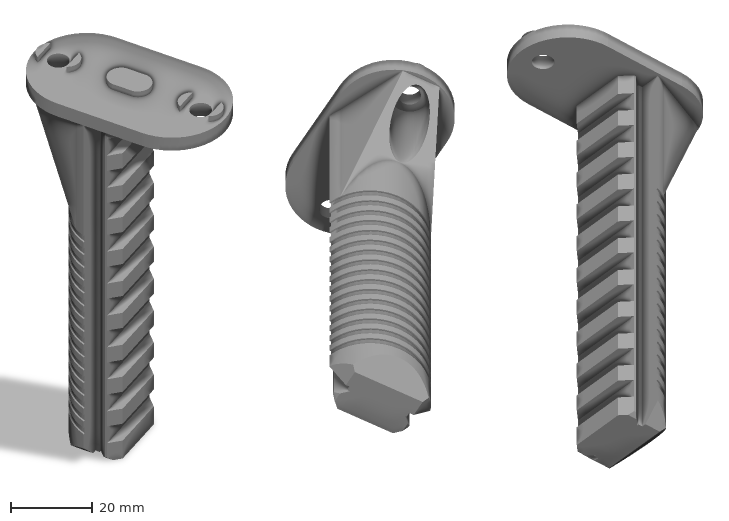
import cadquery as cq
import math

total_height = 112.0
pad_height = 1.8
plate_thickness = 4.0
plate_top = total_height - pad_height
plate_bottom = plate_top - plate_thickness

plate_length = 54.0
plate_width = 30.0
hole_diameter = 5.6
hole_offset = 20.0
screwdriver_diameter = 10.0

pad_length = 11.9
pad_width = 7.2
pad_straight_length = 5.8
pad_hole_gap = 8.1

grip_radius = plate_width / 2
grip_back_x = -4.9

groove_count = 16
groove_depth = 0.5
grooves_bottom = 9.1
grooves_top = 71.0
groove_width = (grooves_top - grooves_bottom) / (2 * groove_count - 1)

gusset_tip_x = -25.9
gusset_root_x = -8.0
gusset_tip_width = 10.3
gusset_root_width = 2 * math.sqrt(grip_radius**2 - gusset_root_x**2)

rail_width = 21.2
rail_neck_width = 16.6
rail_neck_end_x = -3.7
rail_shoulder_x = -0.9
rail_slot_floor_x = -0.3
rail_top_x = 2.5
rail_bevel = rail_top_x - rail_slot_floor_x
rail_slot_count = 10
rail_slot_width = 5.3
rail_end_land = 5.6
rail_slot_pitch = (plate_bottom - 2 * rail_end_land - rail_slot_width) / (rail_slot_count - 1)

foot_reach = 9.5


def make_plate():
    """Round-ended plate."""
    return (
        cq.Workplane("XY")
        .workplane(offset=plate_bottom)
        .slot2D(plate_length, plate_width)
        .extrude(plate_thickness)
    )


def make_pad(center_x):
    """Oblong pad with bulged ends."""
    half_straight = pad_straight_length / 2
    half_length = pad_length / 2
    half_width = pad_width / 2
    return (
        cq.Workplane("XY", origin=(center_x, 0, plate_top))
        .moveTo(-half_straight, half_width)
        .lineTo(half_straight, half_width)
        .threePointArc((half_length, 0), (half_straight, -half_width))
        .lineTo(-half_straight, -half_width)
        .threePointArc((-half_length, 0), (-half_straight, half_width))
        .close()
        .extrude(pad_height)
    )


def make_split_pad(center_x):
    """Pad whose middle is cleared around a screw hole, leaving its two ends."""
    gap = cq.Workplane("XY", origin=(center_x, 0, plate_top)).box(
        pad_hole_gap, 2 * pad_width, 2 * pad_height
    )
    return make_pad(center_x).cut(gap)


def make_grip():
    """Round grip with rectangular grooves."""
    grip = cq.Workplane("XY").circle(grip_radius).extrude(plate_bottom)
    for index in range(groove_count):
        groove = (
            cq.Workplane("XY", origin=(0, 0, grooves_bottom + 2 * index * groove_width))
            .circle(grip_radius + groove_depth)
            .circle(grip_radius - groove_depth)
            .extrude(groove_width)
        )
        grip = grip.cut(groove)
    behind_grip = (
        cq.Workplane("XY")
        .center(grip_back_x, 0)
        .rect(4 * grip_radius, 4 * grip_radius)
        .extrude(plate_bottom)
        .translate((2 * grip_radius, 0, 0))
    )
    return grip.cut(behind_grip)


def make_gusset():
    """Tapered gusset with a sloping front."""
    plan = (
        cq.Workplane("XY", origin=(0, 0, grooves_top))
        .moveTo(gusset_tip_x, -gusset_tip_width / 2)
        .lineTo(gusset_root_x, -gusset_root_width / 2)
        .lineTo(gusset_root_x, gusset_root_width / 2)
        .lineTo(gusset_tip_x, gusset_tip_width / 2)
        .close()
        .extrude(plate_bottom - grooves_top)
    )
    slope = (
        cq.Workplane("XZ")
        .moveTo(gusset_tip_x, plate_bottom)
        .lineTo(gusset_root_x, grooves_top)
        .lineTo(gusset_root_x, plate_bottom)
        .close()
        .extrude(gusset_root_width, both=True)
    )
    return plan.intersect(slope)


def make_rail():
    """Rail on a neck wider than its foot, with 45-degree flanks and evenly spaced cross slots."""
    half_width = rail_width / 2
    half_neck = rail_neck_width / 2
    half_flank_start = half_width - (rail_shoulder_x - rail_neck_end_x)
    half_top = half_width - rail_bevel
    half_outline = [
        (grip_back_x, half_neck),
        (rail_neck_end_x, half_neck),
        (rail_neck_end_x, half_flank_start),
        (rail_shoulder_x, half_width),
        (rail_slot_floor_x, half_width),
        (rail_top_x, half_top),
    ]
    mirrored = [(x, -y) for x, y in reversed(half_outline)]
    rail = cq.Workplane("XY").polyline(half_outline + mirrored).close().extrude(plate_bottom)
    for index in range(rail_slot_count):
        slot_bottom = rail_end_land + index * rail_slot_pitch
        slot = cq.Workplane("XY").box(
            2 * rail_bevel, 2 * rail_width, rail_slot_width, centered=(False, True, False)
        )
        rail = rail.cut(slot.translate((rail_slot_floor_x, 0, slot_bottom)))
    return rail


def make_foot_envelope():
    """Space that opens upward at 45 degrees from the foot in -X and in +-Y."""
    bottom_length = rail_top_x + foot_reach
    top_length = bottom_length + plate_bottom
    return (
        cq.Workplane("XY")
        .center(rail_top_x - bottom_length / 2, 0)
        .rect(bottom_length, 2 * foot_reach)
        .workplane(offset=plate_bottom)
        .center((bottom_length - top_length) / 2, 0)
        .rect(top_length, 2 * (foot_reach + plate_bottom))
        .loft(ruled=True)
    )


handle = make_grip().union(make_rail()).intersect(make_foot_envelope())
handle = handle.union(make_gusset())

screwdriver_relief = (
    cq.Workplane("XY")
    .center(-hole_offset, 0)
    .circle(screwdriver_diameter / 2)
    .extrude(plate_bottom)
)
screw_holes = (
    cq.Workplane("XY")
    .workplane(offset=plate_bottom)
    .pushPoints([(-hole_offset, 0), (hole_offset, 0)])
    .circle(hole_diameter / 2)
    .extrude(plate_thickness + pad_height)
)

result = handle.cut(screwdriver_relief).union(make_plate()).union(make_pad(0))
for pad_x in (-hole_offset, hole_offset):
    result = result.union(make_split_pad(pad_x))
result = result.cut(screw_holes)